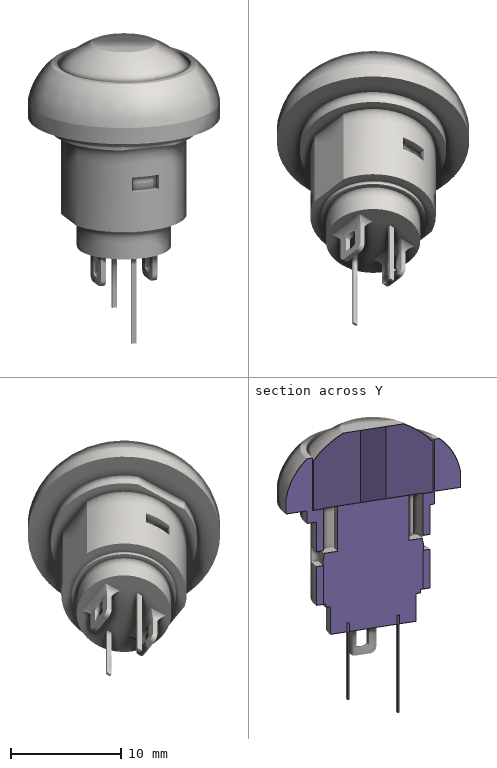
import cadquery as cq

BEZEL_TOP_Z = -1.95
BEZEL_RIM_Z = -5.48
BEZEL_BOTTOM_Z = -7.0
FLANGE_BOTTOM_Z = -8.23
BARREL_BOTTOM_Z = -16.27
COLLAR_BOTTOM_Z = -16.6
BASE_BOTTOM_Z = -19.27

BEZEL_RADIUS = 17.5 / 2
BEZEL_TOP_RADIUS = 6.62
BEZEL_DOME_MID = (8.0, -3.53)
FLANGE_RADIUS = 6.65
FLANGE_FLAT_X = 6.15
BARREL_RADIUS = 5.7
BARREL_FLAT_Y = 5.35
BARREL_BORE_RADIUS = 4.95
CAP_CLEARANCE = 0.08

WINDOW_WIDTH = 2.6
WINDOW_TOP_Z = -11.1
WINDOW_BOTTOM_Z = -12.5

CAP_RADIUS = 12.0 / 2
CAP_TOP_RADIUS = 3.0
CAP_DOME_MID = (4.5, -0.85)
CAP_DOME_BOTTOM_Z = -2.22
LENS_RADIUS = 1.25

COLLAR_RADIUS = 4.75
PLUG_RADIUS = 8.6 / 2
SHOULDER_Z = -11.32
CORE_RADIUS = 7.2 / 2
PILLAR_FACE_X = 4.45
PILLAR_GAP = 2.03

HOOK_WIDTH = 1.95
HOOK_HEIGHT = 0.08
HOOK_RAMP_TOP_Z = -11.6
HOOK_RAMP_BOTTOM_Z = -11.9

TERMINAL_OFFSET = 2.5
TERMINAL_INSERTION = 0.83
BLADE_WIDTH = 0.47
PIN_THICKNESS = 0.22
SHORT_PIN_TIP_Z = -25.8
LONG_PIN_TIP_Z = -27.8

LUG_WIDTH = 2.73
LUG_TIP_Z = -22.58
LUG_CORNER_RADIUS = 0.6
LUG_SLOT_WIDTH = 1.22
LUG_SLOT_DIAMETER = 2.0
LUG_SLOT_Z = -20.9
LUG_SEAT_HEIGHT = 0.6
LUG_SEAT_FLARE = 0.55
LUG_SEAT_HOLLOW = 0.05

TERMINAL_TOP_Z = BASE_BOTTOM_Z + TERMINAL_INSERTION


def cylinder(radius, bottom_z, top_z):
    return cq.Workplane("XY").workplane(offset=bottom_z).circle(radius).extrude(top_z - bottom_z)


def block(size_x, size_y, bottom_z, top_z):
    return cq.Workplane("XY").workplane(offset=bottom_z).rect(size_x, size_y).extrude(top_z - bottom_z)


def revolve_about_axis(profile):
    """Revolve a closed profile, drawn on XZ, a full turn about Z."""
    return profile.revolve(360, (0, 0, 0), (0, 1, 0))


def make_bezel():
    profile = (
        cq.Workplane("XZ")
        .moveTo(0, BEZEL_BOTTOM_Z)
        .lineTo(BEZEL_RADIUS, BEZEL_BOTTOM_Z)
        .lineTo(BEZEL_RADIUS, BEZEL_RIM_Z)
        .threePointArc(BEZEL_DOME_MID, (BEZEL_TOP_RADIUS, BEZEL_TOP_Z))
        .lineTo(0, BEZEL_TOP_Z)
        .close()
    )
    return revolve_about_axis(profile)


def make_flange():
    """Flange under the bezel, cut flat on its +X side as an anti-rotation key."""
    flange = cylinder(FLANGE_RADIUS, FLANGE_BOTTOM_Z, BEZEL_BOTTOM_Z)
    key_limit = block(2 * FLANGE_RADIUS, 2 * FLANGE_RADIUS, FLANGE_BOTTOM_Z, BEZEL_BOTTOM_Z)
    return flange.intersect(key_limit.translate((FLANGE_FLAT_X - FLANGE_RADIUS, 0, 0)))


def make_barrel():
    """Barrel with a flat on its -Y and +Y sides."""
    barrel = cylinder(BARREL_RADIUS, BARREL_BOTTOM_Z, FLANGE_BOTTOM_Z)
    flats = block(2 * BARREL_RADIUS, 2 * BARREL_FLAT_Y, BARREL_BOTTOM_Z, FLANGE_BOTTOM_Z)
    return barrel.intersect(flats)


def make_housing():
    cap_bore = cylinder(CAP_RADIUS + CAP_CLEARANCE, BEZEL_BOTTOM_Z, BEZEL_TOP_Z)
    barrel_bore = cylinder(BARREL_BORE_RADIUS, BARREL_BOTTOM_Z, BEZEL_BOTTOM_Z)
    windows = block(2 * BARREL_RADIUS, WINDOW_WIDTH, WINDOW_BOTTOM_Z, WINDOW_TOP_Z)
    solid = make_bezel().union(make_flange()).union(make_barrel())
    return solid.cut(cap_bore).cut(barrel_bore).cut(windows)


def make_lens():
    """Light guide, flush with the cap top and standing on the base."""
    return cylinder(LENS_RADIUS, BEZEL_BOTTOM_Z, 0)


def make_cap(lens):
    profile = (
        cq.Workplane("XZ")
        .moveTo(0, BEZEL_BOTTOM_Z)
        .lineTo(CAP_RADIUS, BEZEL_BOTTOM_Z)
        .lineTo(CAP_RADIUS, CAP_DOME_BOTTOM_Z)
        .threePointArc(CAP_DOME_MID, (CAP_TOP_RADIUS, 0))
        .lineTo(0, 0)
        .close()
    )
    return revolve_about_axis(profile).cut(lens)


def make_hooks():
    """Latch hooks on both X sides: a ramp on top, and a lower edge resting on the window sill."""
    hook_radius = BARREL_BORE_RADIUS + HOOK_HEIGHT
    profile = (
        cq.Workplane("XZ")
        .moveTo(0, WINDOW_BOTTOM_Z)
        .lineTo(hook_radius, WINDOW_BOTTOM_Z)
        .lineTo(hook_radius, HOOK_RAMP_BOTTOM_Z)
        .lineTo(BARREL_BORE_RADIUS, HOOK_RAMP_TOP_Z)
        .lineTo(0, HOOK_RAMP_TOP_Z)
        .close()
    )
    strip = block(2 * hook_radius, HOOK_WIDTH, WINDOW_BOTTOM_Z, HOOK_RAMP_TOP_Z)
    return revolve_about_axis(profile).intersect(strip)


def make_base_top():
    """Round core between flat-faced pillars, from the shoulder up to the cap."""
    core = cylinder(CORE_RADIUS, SHOULDER_Z, BEZEL_BOTTOM_Z)
    pillars = (
        cylinder(BARREL_BORE_RADIUS, SHOULDER_Z, BEZEL_BOTTOM_Z)
        .intersect(block(2 * PILLAR_FACE_X, 2 * BARREL_BORE_RADIUS, SHOULDER_Z, BEZEL_BOTTOM_Z))
        .cut(block(2 * PILLAR_FACE_X, PILLAR_GAP, SHOULDER_Z, BEZEL_BOTTOM_Z))
    )
    return core.union(pillars)


def make_seat_prism(plane, half_width):
    """Prism along the plane's normal whose two sides flare up to the base in hollow arcs."""
    bottom_z = BASE_BOTTOM_Z - LUG_SEAT_HEIGHT
    top_half_width = half_width + LUG_SEAT_FLARE
    arc_x = half_width + LUG_SEAT_FLARE / 2 - LUG_SEAT_HOLLOW
    arc_z = BASE_BOTTOM_Z - LUG_SEAT_HEIGHT / 2 + LUG_SEAT_HOLLOW
    return (
        cq.Workplane(plane)
        .moveTo(-half_width, bottom_z)
        .lineTo(half_width, bottom_z)
        .threePointArc((arc_x, arc_z), (top_half_width, BASE_BOTTOM_Z))
        .lineTo(-top_half_width, BASE_BOTTOM_Z)
        .threePointArc((-arc_x, arc_z), (-half_width, bottom_z))
        .close()
        .extrude(LUG_WIDTH, both=True)
    )


def make_lug_seat(side):
    """Flared seat under the base, tapering on all four sides down to the lug outline."""
    along_width = make_seat_prism("XZ", LUG_WIDTH / 2)
    across_blade = make_seat_prism("YZ", BLADE_WIDTH / 2)
    return along_width.intersect(across_blade).translate((0, side * TERMINAL_OFFSET, 0))


def make_base(terminals):
    base = (
        cylinder(BARREL_BORE_RADIUS, BARREL_BOTTOM_Z, SHOULDER_Z)
        .union(make_base_top())
        .union(make_hooks())
        .union(cylinder(COLLAR_RADIUS, COLLAR_BOTTOM_Z, BARREL_BOTTOM_Z))
        .union(cylinder(PLUG_RADIUS, BASE_BOTTOM_Z, COLLAR_BOTTOM_Z))
    )
    for side in (-1, 1):
        base = base.union(make_lug_seat(side))
    for terminal in terminals:
        base = base.cut(terminal)
    return base


def make_lug(side):
    """Solder lug with a round-ended slot, on the -Y or +Y side."""
    slot = (
        cylinder(LUG_SLOT_DIAMETER / 2, -BLADE_WIDTH, BLADE_WIDTH)
        .intersect(block(LUG_SLOT_WIDTH, LUG_SLOT_DIAMETER, -BLADE_WIDTH, BLADE_WIDTH))
        .rotate((0, 0, 0), (1, 0, 0), 90)
        .translate((0, 0, LUG_SLOT_Z))
    )
    blade = block(LUG_WIDTH, BLADE_WIDTH, LUG_TIP_Z, TERMINAL_TOP_Z)
    blade = blade.faces("<Z").edges("|Y").fillet(LUG_CORNER_RADIUS)
    return blade.cut(slot).translate((0, side * TERMINAL_OFFSET, 0))


def make_pin(side, tip_z):
    """Straight flat pin on the -X or +X side."""
    pin = block(PIN_THICKNESS, BLADE_WIDTH, tip_z, TERMINAL_TOP_Z)
    return pin.translate((side * TERMINAL_OFFSET, 0, 0))


housing = make_housing()
lens = make_lens()
cap = make_cap(lens)
lugs = [make_lug(side) for side in (-1, 1)]
pins = [make_pin(side, tip_z) for side, tip_z in ((-1, SHORT_PIN_TIP_Z), (1, LONG_PIN_TIP_Z))]
terminals = lugs + pins
base = make_base(terminals)

result = cq.Compound.makeCompound(
    [housing.val(), cap.val(), lens.val(), base.val(), *(terminal.val() for terminal in terminals)]
)